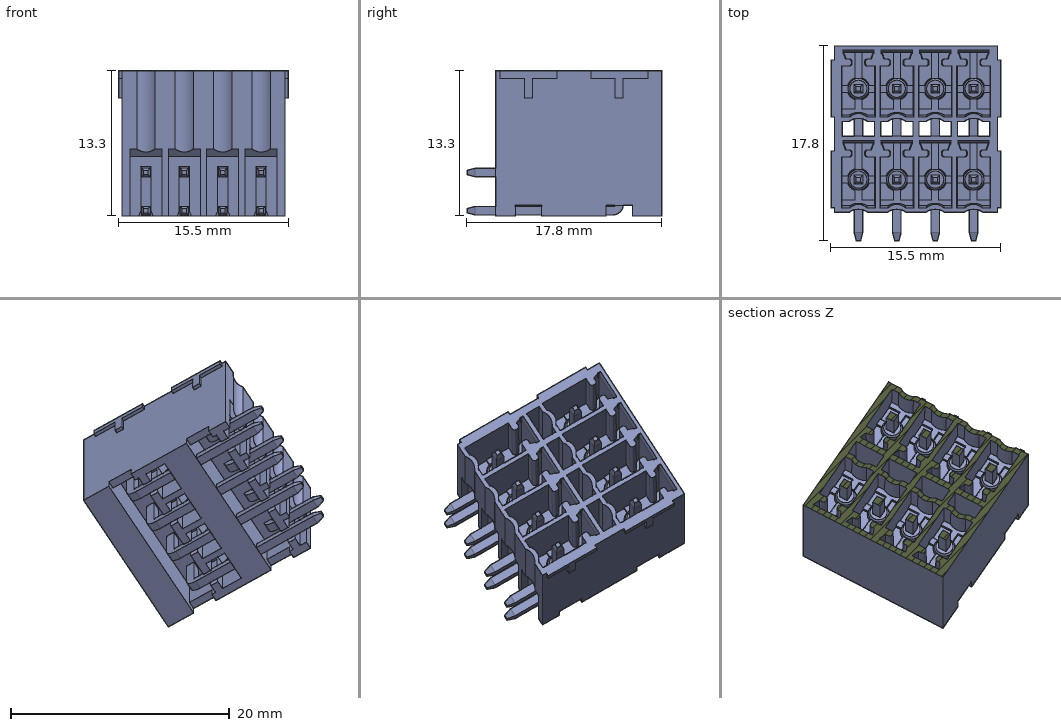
import cadquery as cq


POLES = 4
POLE_PITCH = 3.5
ROW_PITCH = 8.3
BODY_WIDTH = 14.9
BODY_DEPTH = 15.2
BODY_HEIGHT = 13.3
POLE_X = [(i - (POLES - 1) / 2) * POLE_PITCH for i in range(POLES)]
ROW_Y = [0, ROW_PITCH]
CONTACT_Y = 2.99

BAY_WIDTH = 2.92
ROW_DEPTH = 6.96

SCALLOP_WIDTH = 1.67
SCALLOP_DEPTH = 0.28

FLOOR_Z = 6.76
SOCKET_TOP_HALF = 1.55
SOCKET_FLOOR_HALF = 1.48
SOCKET_TOP_FRONT = 0.41
SOCKET_FLOOR_FRONT = 0.62
TOP_BUMP = 0.32
FLOOR_BUMP = 0.21
BUMP_HALF_WIDTH = 0.78
SOCKET_BACK = 6.39
KEY_BACK_HALF = 1.42
KEY_FRONT_HALF = 1.2
KEY_FRONT = 5.71
TAB_FRONT = 5.05
TAB_GAP_HALF = 0.64
TAB_ROUND = 0.27
SOCKET_DRAFT = SOCKET_TOP_HALF - SOCKET_FLOOR_HALF
LEAD_IN_DEPTH = 0.16
LEAD_IN_HEIGHT = 0.55

RIB_WIDTH = 0.64
RIB_HEIGHT = 0.27
STEP_BACK = 1.12
BOSS_BASE_RADIUS = 1.03
BOSS_SHOULDER_RADIUS = 0.95
BOSS_TOP_RADIUS = 0.78
BOSS_CAP_HEIGHT = 0.15

RECESS_DEPTH = 0.68
RECESS_HEIGHT = 5.46
SLOT_WIDTH = 0.93
SLOT_HEIGHT = 4.54
FLARE_WIDTH = 1.32
FLARE_HEIGHT = 0.46

CAVITY_FRONT = 1.42
WINDOW_FRONT = 1.82
WINDOW_BACK = 4.2
WINDOW_HEIGHT = 0.98

END_KEY_THICKNESS = 0.3
END_KEY_FRONT = 0.41
END_KEY_BACK = 5.62
END_KEY_HEIGHT = 0.71
STEM_WIDTH = 0.73
STEM_DROP = 2.51

PIN_SIZE = 0.8
PIN_TIP_SIZE = 0.41
PIN_TIP_LENGTH = 0.75
PIN_REACH = 2.6
PIN_TOP_Z = 12.03
LEG_Z = {0: 3.99, ROW_PITCH: 0.5}
BEND_RADIUS = 1.0


def box(x_min, x_max, y_min, y_max, z_min, z_max):
    size = (x_max - x_min, y_max - y_min, z_max - z_min)
    return cq.Workplane("XY").box(*size, centered=False).translate((x_min, y_min, z_min))


def centred_box(x, width, y_min, y_max, z_min, z_max):
    return box(x - width / 2, x + width / 2, y_min, y_max, z_min, z_max)


def cone(x, y, z, bottom_radius, top_radius, height):
    base = cq.Vector(x, y, z)
    return cq.Workplane(cq.Solid.makeCone(bottom_radius, top_radius, height, pnt=base))


def scallop(x, y):
    """Shallow cylindrical groove, full height."""
    half = SCALLOP_WIDTH / 2
    outline = cq.Workplane("XY").moveTo(x - half, y)
    outline = outline.threePointArc((x, y + SCALLOP_DEPTH), (x + half, y))
    return outline.close().extrude(BODY_HEIGHT)


def socket_outline(sketch, x, y, inset, front, bump):
    """Socket section with two rounded key tabs and a bulge following the scallop."""
    half = SOCKET_TOP_HALF - inset
    tab_half = TAB_GAP_HALF - inset
    tab_front = y + TAB_FRONT
    tab_back = y + KEY_FRONT
    key_front = KEY_FRONT_HALF - inset
    key_back = KEY_BACK_HALF - inset
    back = y + SOCKET_BACK - inset
    front = y + front
    corner = TAB_ROUND
    return (
        sketch.moveTo(x - half, front)
        .lineTo(x - BUMP_HALF_WIDTH, front)
        .threePointArc((x, front + bump), (x + BUMP_HALF_WIDTH, front))
        .lineTo(x + half, front)
        .lineTo(x + half, tab_front)
        .lineTo(x + tab_half + corner, tab_front)
        .tangentArcPoint((x + tab_half, tab_front + corner), relative=False)
        .lineTo(x + tab_half, tab_back - corner)
        .tangentArcPoint((x + tab_half + corner, tab_back), relative=False)
        .lineTo(x + key_front, tab_back)
        .lineTo(x + key_back, back)
        .lineTo(x - key_back, back)
        .lineTo(x - key_front, tab_back)
        .lineTo(x - tab_half - corner, tab_back)
        .tangentArcPoint((x - tab_half, tab_back - corner), relative=False)
        .lineTo(x - tab_half, tab_front + corner)
        .tangentArcPoint((x - tab_half - corner, tab_front), relative=False)
        .lineTo(x - half, tab_front)
        .close()
    )


def lead_in(x, y):
    """Sloped relief along the top of the socket's back wall, overlapping the socket."""
    back = y + SOCKET_BACK
    outline = [
        (back - LEAD_IN_DEPTH, BODY_HEIGHT),
        (back + LEAD_IN_DEPTH, BODY_HEIGHT),
        (back - LEAD_IN_DEPTH, BODY_HEIGHT - 2 * LEAD_IN_HEIGHT),
    ]
    wedge = cq.Workplane("YZ").polyline(outline).close().extrude(KEY_BACK_HALF, both=True)
    return wedge.translate((x, 0, 0))


def floor_details(x, y):
    """Front step, crossed ribs and two-stage conical boss, standing on the socket floor."""
    rib_top = FLOOR_Z + RIB_HEIGHT
    width = 2 * SOCKET_TOP_HALF
    axis = y + CONTACT_Y
    step = centred_box(x, width, y + SOCKET_TOP_FRONT, y + STEP_BACK, FLOOR_Z, rib_top)
    cross_rib = centred_box(x, width, axis - RIB_WIDTH / 2, axis + RIB_WIDTH / 2, FLOOR_Z, rib_top)
    long_rib = centred_box(x, RIB_WIDTH, y + STEP_BACK, y + SOCKET_BACK, FLOOR_Z, rib_top)
    skirt = cone(x, axis, FLOOR_Z, BOSS_BASE_RADIUS, BOSS_SHOULDER_RADIUS, RIB_HEIGHT)
    cap = cone(x, axis, rib_top, BOSS_SHOULDER_RADIUS, BOSS_TOP_RADIUS, BOSS_CAP_HEIGHT)
    return step.union(cross_rib).union(long_rib).union(skirt).union(cap)


def socket(x, y):
    """Space to remove for one plug socket."""
    base = cq.Workplane("XY", origin=(0, 0, FLOOR_Z))
    lower = socket_outline(base, x, y, SOCKET_DRAFT, SOCKET_FLOOR_FRONT, FLOOR_BUMP)
    upper = lower.workplane(offset=BODY_HEIGHT - FLOOR_Z)
    cavity = socket_outline(upper, x, y, 0, SOCKET_TOP_FRONT, TOP_BUMP).loft(ruled=True)
    return cavity.union(lead_in(x, y)).cut(floor_details(x, y))


def front_recess(x, y):
    """Recess with a sloped ceiling, low in the front face of a row."""
    outline = [
        (y, 0),
        (y + RECESS_DEPTH, 0),
        (y + RECESS_DEPTH, RECESS_HEIGHT),
        (y, RECESS_HEIGHT + RECESS_DEPTH),
    ]
    recess = cq.Workplane("YZ").polyline(outline).close().extrude(BAY_WIDTH / 2, both=True)
    return recess.translate((x, 0, 0))


def pin_slot(x, y):
    """Slot from the recess into the cavity, flared at the underside."""
    half = SLOT_WIDTH / 2
    flare_half = FLARE_WIDTH / 2
    outline = [
        (-flare_half, 0),
        (flare_half, 0),
        (half, FLARE_HEIGHT),
        (half, SLOT_HEIGHT),
        (-half, SLOT_HEIGHT),
        (-half, FLARE_HEIGHT),
    ]
    slot = cq.Workplane("XZ").polyline(outline).close().extrude(-CAVITY_FRONT)
    return slot.translate((x, y, 0))


def underside_cavity(y):
    """Cavity below all sockets of a row, with a low window through both end walls."""
    width = POLE_X[-1] - POLE_X[0] + BAY_WIDTH
    cavity = centred_box(0, width, y + CAVITY_FRONT, y + WINDOW_BACK, 0, SLOT_HEIGHT)
    window = centred_box(0, BODY_WIDTH, y + WINDOW_FRONT, y + WINDOW_BACK, 0, WINDOW_HEIGHT)
    return cavity.union(window)


def end_keys(y):
    """T-shaped keys on both end walls, reaching across the body."""
    width = BODY_WIDTH + 2 * END_KEY_THICKNESS
    axis = y + CONTACT_Y
    bar_bottom = BODY_HEIGHT - END_KEY_HEIGHT
    stem_bottom = BODY_HEIGHT - STEM_DROP
    stem_front = axis - STEM_WIDTH / 2
    stem_back = axis + STEM_WIDTH / 2
    bar = centred_box(0, width, y + END_KEY_FRONT, y + END_KEY_BACK, bar_bottom, BODY_HEIGHT)
    stem = centred_box(0, width, stem_front, stem_back, stem_bottom, BODY_HEIGHT)
    return bar.union(stem)


def pin_tip(plane):
    """Square taper growing along the normal of the plane."""
    tip = cq.Workplane(plane).rect(PIN_SIZE, PIN_SIZE)
    return tip.workplane(offset=PIN_TIP_LENGTH).rect(PIN_TIP_SIZE, PIN_TIP_SIZE).loft(ruled=True)


def pin(x, y):
    """Right-angle pin: upright contact, rounded bend and forward leg."""
    half = PIN_SIZE / 2
    axis = y + CONTACT_Y
    leg_z = LEG_Z[y]
    shank_top = PIN_TOP_Z - PIN_TIP_LENGTH
    shank_front = PIN_TIP_LENGTH - PIN_REACH
    upright = centred_box(x, PIN_SIZE, axis - half, axis + half, leg_z - half, shank_top)
    leg = centred_box(x, PIN_SIZE, shank_front, axis + half, leg_z - half, leg_z + half)
    bend = cq.selectors.NearestToPointSelector((x, axis + half, leg_z - half))
    shank = upright.union(leg).edges(bend).fillet(BEND_RADIUS)
    contact_plane = cq.Plane(origin=(x, axis, shank_top), xDir=(1, 0, 0), normal=(0, 0, 1))
    leg_plane = cq.Plane(origin=(x, shank_front, leg_z), xDir=(1, 0, 0), normal=(0, -1, 0))
    return shank.union(pin_tip(contact_plane)).union(pin_tip(leg_plane))


result = centred_box(0, BODY_WIDTH, 0, BODY_DEPTH, 0, BODY_HEIGHT)
for row in ROW_Y:
    result = result.union(end_keys(row))
for row in ROW_Y:
    result = result.cut(underside_cavity(row))
for pole in POLE_X:
    row_gap = centred_box(pole, BAY_WIDTH, ROW_DEPTH, ROW_PITCH, 0, BODY_HEIGHT)
    result = result.cut(row_gap)
    for row in ROW_Y:
        result = result.cut(scallop(pole, row))
        result = result.cut(front_recess(pole, row))
        result = result.cut(pin_slot(pole, row))
        result = result.cut(socket(pole, row))

for pole in POLE_X:
    for row in ROW_Y:
        result = result.union(pin(pole, row))